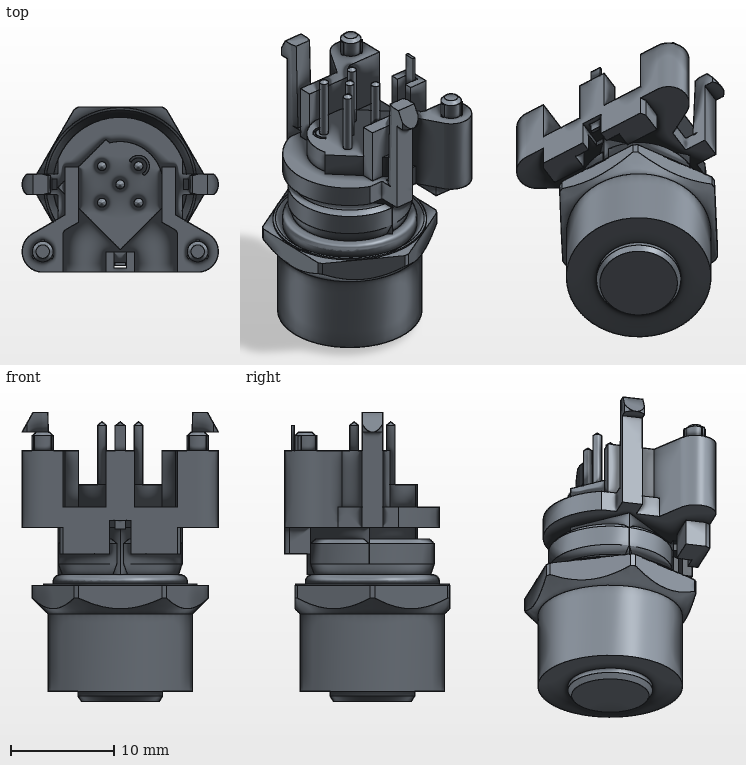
import math
import cadquery as cq

HEIGHT = 28.0
BARREL_BOTTOM_Z = 1.0
NUT_BOTTOM_Z = 8.5
NUT_TOP_Z = 11.25
LIP_TOP_Z = 11.4
SEAL_TOP_Z = 12.3
NECK_TOP_Z = 15.75
SKIRT_BOTTOM_Z = 14.3
DECK_BOTTOM_Z = 16.85
DECK_TOP_Z = 18.83
CORE_TOP_Z = 21.0
WALL_TOP_Z = 24.3
PEG_TOP_Z = 26.1
PIN_SHOULDER_Z = 26.75
PIN_TIP_Z = 27.1

PLUG_RADIUS = 4.1
PLUG_CHAMFER_HEIGHT = 0.54
PLUG_CHAMFER = 0.35
BARREL_RADIUS = 7.0
NUT_FLATS = 15.0
NUT_CORNER_RADIUS = 8.52
LIP_RADIUS = 7.44
RECESS_RADIUS = 7.2
RECESS_FLOOR_RADIUS = 6.4
RECESS_DEPTH = 0.7
SEAL_RADIUS = 6.5
SEAL_ROUND = 0.7
NECK_RADIUS = 6.0
NECK_WAIST_RADIUS = 5.65
NECK_CONE_HEIGHT = 1.05
NECK_CHAMFER = 0.45

CORE_CORNER_Y = -6.32
CORE_SIDE_CORNER = (-6.03, -0.29)
CORE_ROUND = 4.15
KEY_CORNER_X = -1.39
KEY_STEP_X = -1.03

FLANGE_RADIUS = 6.5
FLANGE_HALF_WIDTH = 6.0
BODY_FRONT_Y = -8.5
EAR_RADIUS = 2.0
EAR_X = 7.5
EAR_Y = BODY_FRONT_Y + EAR_RADIUS
WALL_SLOPE = math.radians(30)
WALL_OUTER_X = 5.36
WALL_INNER_X = 4.02
WALL_BACK_Y = 1.68
POCKET_HALF_WIDTH = 5.55
POCKET_BEND_Y = -3.65
POCKET_CORNER_X = 0.2
POCKET_CORNER_Y = 0.3
SKIRT_BACK_Y = -6.0
SKIRT_HALF_WIDTH = 5.85
SKIRT_CHAMFER_X = 0.32
SKIRT_CHAMFER_Y = 0.5
NOTCH_HALF_WIDTH = 1.03
NOTCH_TOP_Z = 17.55
RELIEF_HALF_WIDTH = 2.5
RELIEF_FRONT_Y = -7.5

POST_HALF_WIDTH = 1.4
POST_BACK_Y = -6.55
SLOT_WIDTH = 1.2
SLOT_FRONT_Y = -8.08
REAR_SLOT_FLOOR_Z = CORE_TOP_Z
BLADE_WIDTH = 1.05
BLADE_FRONT_Y = -7.85
BLADE_BACK_Y = -7.56
BLADE_BOTTOM_Z = 16.7

PEG_RADIUS = 1.0
PEG_CHAMFER = 0.35
PEG_RIB_REACH = 1.13
PEG_RIB_WIDTH = 0.3
PIN_RADIUS = 0.43
PIN_OFFSET = 1.77
MARK_INNER_RADIUS = 0.8
MARK_OUTER_RADIUS = 1.05
MARK_DEPTH = 0.2
MARK_END_OFFSET = 0.25

ARM_HALF_WIDTH = 1.0
ARM_OUTER_X = 8.2
ARM_INNER_TOP_X = 7.0
ARM_INNER_FOOT_X = 6.68
ARM_EDGE_CHAMFER_X = 0.55
ARM_EDGE_CHAMFER_Y = 0.15
ARM_ROOT_FILLET = 0.15
HOOK_TIP_X = 9.5
HOOK_TOP_X = 8.45
HOOK_BOTTOM_Z = 26.1
HOOK_TIP_RADIUS = 1.33
DIMPLE_INNER_X = 6.1
DIMPLE_OUTER_X = 6.6
DIMPLE_HALF_WIDTH = 0.5
DIMPLE_DEPTH = 0.2


def box(x_range, y_range, z_range):
    """Box given by its limits along the three axes."""
    (x0, x1), (y0, y1), (z0, z1) = x_range, y_range, z_range
    return cq.Workplane("XY").box(x1 - x0, y1 - y0, z1 - z0, centered=False).translate((x0, y0, z0))


def disc(radius, z_range):
    """Cylinder on the connector axis."""
    z0, z1 = z_range
    return cq.Workplane("XY").workplane(offset=z0).circle(radius).extrude(z1 - z0)


def revolve_profile(points):
    """Solid of revolution about Z from (radius, height) points."""
    return cq.Workplane("XZ").polyline(points).close().revolve(360, (0, 0), (0, 1))


def both_sides(solid):
    """The solid together with its mirror image in the YZ plane."""
    return solid.union(solid.mirror("YZ"))


def make_round_body():
    """Plug, barrel and waisted neck as one turned body."""
    cone_top_z = SEAL_TOP_Z + NECK_CONE_HEIGHT
    return revolve_profile([
        (0, 0),
        (PLUG_RADIUS - PLUG_CHAMFER, 0),
        (PLUG_RADIUS, PLUG_CHAMFER_HEIGHT),
        (PLUG_RADIUS, BARREL_BOTTOM_Z),
        (BARREL_RADIUS, BARREL_BOTTOM_Z),
        (BARREL_RADIUS, NUT_BOTTOM_Z),
        (NECK_WAIST_RADIUS, NUT_BOTTOM_Z),
        (NECK_WAIST_RADIUS, SEAL_TOP_Z),
        (NECK_RADIUS, cone_top_z),
        (NECK_RADIUS, NECK_TOP_Z - NECK_CHAMFER),
        (NECK_RADIUS - NECK_CHAMFER, NECK_TOP_Z),
        (0, NECK_TOP_Z),
    ])


def make_nut():
    """Hexagon with a 45 degree lower cone, clipped corners and a dished, lipped top."""
    hexagon = (
        cq.Workplane("XY")
        .workplane(offset=NUT_BOTTOM_Z)
        .polygon(6, NUT_FLATS, circumscribed=True)
        .extrude(NUT_TOP_Z - NUT_BOTTOM_Z)
        .rotate((0, 0, 0), (0, 0, 1), 90)
    )
    clip = revolve_profile([
        (0, NUT_BOTTOM_Z),
        (BARREL_RADIUS, NUT_BOTTOM_Z),
        (NUT_CORNER_RADIUS, NUT_BOTTOM_Z + NUT_CORNER_RADIUS - BARREL_RADIUS),
        (NUT_CORNER_RADIUS, NUT_TOP_Z),
        (0, NUT_TOP_Z),
    ])
    lip = disc(LIP_RADIUS, (NUT_TOP_Z - RECESS_DEPTH, LIP_TOP_Z))
    recess = revolve_profile([
        (0, LIP_TOP_Z - RECESS_DEPTH),
        (RECESS_FLOOR_RADIUS, LIP_TOP_Z - RECESS_DEPTH),
        (RECESS_RADIUS, LIP_TOP_Z),
        (0, LIP_TOP_Z),
    ])
    return hexagon.intersect(clip).union(lip).cut(recess)


def make_seal():
    """Sealing ring lying in the dished nut top."""
    seal = disc(SEAL_RADIUS, (LIP_TOP_Z - RECESS_DEPTH, SEAL_TOP_Z))
    return seal.faces(">Z").edges().fillet(SEAL_ROUND)


def make_core():
    """Contact carrier whose front and left corners stand out of the neck as ridges."""
    side_x, side_y = CORE_SIDE_CORNER
    key_corner_y = side_y + KEY_CORNER_X - side_x
    step_y = math.sqrt(CORE_ROUND**2 - KEY_STEP_X**2)
    middle = CORE_ROUND * math.sqrt(0.5)
    return (
        cq.Workplane("XY")
        .workplane(offset=SEAL_TOP_Z)
        .moveTo(0, CORE_CORNER_Y)
        .lineTo(CORE_ROUND, CORE_CORNER_Y + CORE_ROUND)
        .lineTo(CORE_ROUND, 0)
        .threePointArc((middle, middle), (KEY_STEP_X, step_y))
        .lineTo(KEY_CORNER_X, key_corner_y)
        .lineTo(side_x, side_y)
        .close()
        .extrude(CORE_TOP_Z - SEAL_TOP_Z)
    )


def make_right_shoulder():
    """Right-hand corner of the carrier, kept only between the neck and the deck."""
    side_x, side_y = CORE_SIDE_CORNER
    bottom_z = SEAL_TOP_Z + NECK_CONE_HEIGHT
    return (
        cq.Workplane("XY")
        .workplane(offset=bottom_z)
        .moveTo(0, CORE_CORNER_Y)
        .lineTo(-side_x, side_y)
        .lineTo(0, side_y)
        .close()
        .extrude(DECK_BOTTOM_Z - bottom_z)
    )


def make_wall():
    """Right-hand wall with its rounded ear, from the deck underside to the wall top."""
    slope = math.tan(WALL_SLOPE)
    tangent_x = EAR_X + EAR_RADIUS * math.sin(WALL_SLOPE)
    tangent_y = EAR_Y + EAR_RADIUS * math.cos(WALL_SLOPE)
    outer_bend_y = tangent_y + slope * (tangent_x - WALL_OUTER_X)
    pocket_corner_x = POCKET_HALF_WIDTH - POCKET_CORNER_X
    pocket_corner_y = POCKET_BEND_Y - slope * (pocket_corner_x - WALL_INNER_X)
    arc_middle = EAR_X + EAR_RADIUS * math.cos(WALL_SLOPE), EAR_Y - EAR_RADIUS * math.sin(WALL_SLOPE)
    return (
        cq.Workplane("XY")
        .workplane(offset=DECK_BOTTOM_Z)
        .moveTo(POCKET_HALF_WIDTH, BODY_FRONT_Y)
        .lineTo(EAR_X, BODY_FRONT_Y)
        .threePointArc(arc_middle, (tangent_x, tangent_y))
        .lineTo(WALL_OUTER_X, outer_bend_y)
        .lineTo(WALL_OUTER_X, WALL_BACK_Y)
        .lineTo(WALL_INNER_X, WALL_BACK_Y)
        .lineTo(WALL_INNER_X, POCKET_BEND_Y)
        .lineTo(pocket_corner_x, pocket_corner_y)
        .lineTo(POCKET_HALF_WIDTH, pocket_corner_y - POCKET_CORNER_Y)
        .close()
        .extrude(WALL_TOP_Z - DECK_BOTTOM_Z)
    )


def make_deck():
    """Flange disc with two side flats, joined to the front edge of the mounting body."""
    deck_z = (DECK_BOTTOM_Z, DECK_TOP_Z)
    flats = box(
        (-FLANGE_HALF_WIDTH, FLANGE_HALF_WIDTH),
        (-FLANGE_RADIUS, FLANGE_RADIUS),
        deck_z,
    )
    front = box((-FLANGE_HALF_WIDTH, FLANGE_HALF_WIDTH), (BODY_FRONT_Y, 0), deck_z)
    return disc(FLANGE_RADIUS, deck_z).intersect(flats).union(front)


def make_skirt():
    """Block hanging below the deck at the front, with chamfered front corners."""
    front_half_width = SKIRT_HALF_WIDTH - SKIRT_CHAMFER_X
    return (
        cq.Workplane("XY")
        .workplane(offset=SKIRT_BOTTOM_Z)
        .moveTo(-front_half_width, BODY_FRONT_Y)
        .lineTo(front_half_width, BODY_FRONT_Y)
        .lineTo(SKIRT_HALF_WIDTH, BODY_FRONT_Y + SKIRT_CHAMFER_Y)
        .lineTo(SKIRT_HALF_WIDTH, SKIRT_BACK_Y)
        .lineTo(-SKIRT_HALF_WIDTH, SKIRT_BACK_Y)
        .lineTo(-SKIRT_HALF_WIDTH, BODY_FRONT_Y + SKIRT_CHAMFER_Y)
        .close()
        .extrude(DECK_BOTTOM_Z - SKIRT_BOTTOM_Z)
    )


def make_post():
    """Upright post at the middle of the front edge."""
    return box(
        (-POST_HALF_WIDTH, POST_HALF_WIDTH),
        (BODY_FRONT_Y, POST_BACK_Y),
        (DECK_BOTTOM_Z, WALL_TOP_Z),
    )


def cut_front_openings(body):
    """Notch in the skirt, hollow behind it, and the slot that holds the blade in the post."""
    slot_x = (-SLOT_WIDTH / 2, SLOT_WIDTH / 2)
    notch = box(
        (-NOTCH_HALF_WIDTH, NOTCH_HALF_WIDTH),
        (BODY_FRONT_Y, SKIRT_BACK_Y),
        (SKIRT_BOTTOM_Z, NOTCH_TOP_Z),
    )
    relief = box(
        (-RELIEF_HALF_WIDTH, RELIEF_HALF_WIDTH),
        (RELIEF_FRONT_Y, SKIRT_BACK_Y),
        (SKIRT_BOTTOM_Z, DECK_BOTTOM_Z),
    )
    through_slot = box(slot_x, (SLOT_FRONT_Y, BLADE_FRONT_Y), (NOTCH_TOP_Z, WALL_TOP_Z))
    rear_slot = box(slot_x, (BLADE_FRONT_Y, POST_BACK_Y), (REAR_SLOT_FLOOR_Z, WALL_TOP_Z))
    return body.cut(notch).cut(relief).cut(through_slot).cut(rear_slot)


def make_blade():
    """Flat contact blade standing in the post slot."""
    return box(
        (-BLADE_WIDTH / 2, BLADE_WIDTH / 2),
        (BLADE_FRONT_Y, BLADE_BACK_Y),
        (BLADE_BOTTOM_Z, PIN_SHOULDER_Z),
    )


def make_peg(x):
    """Chamfered locating peg with three crush ribs."""
    height = PEG_TOP_Z - WALL_TOP_Z
    peg = cq.Workplane("XY").circle(PEG_RADIUS).extrude(height)
    peg = peg.faces(">Z").chamfer(PEG_CHAMFER)
    for angle in (90, 210, 330):
        rib = box(
            (0, PEG_RIB_REACH),
            (-PEG_RIB_WIDTH / 2, PEG_RIB_WIDTH / 2),
            (0, height - PEG_CHAMFER),
        )
        peg = peg.union(rib.rotate((0, 0, 0), (0, 0, 1), angle))
    return peg.translate((x, EAR_Y, WALL_TOP_Z))


def make_pin(x, y):
    """Contact pin with a conical tip, rooted in the core."""
    pin = revolve_profile([
        (0, NECK_TOP_Z),
        (PIN_RADIUS, NECK_TOP_Z),
        (PIN_RADIUS, PIN_SHOULDER_Z),
        (0, PIN_TIP_Z),
    ])
    return pin.translate((x, y, 0))


def make_mark():
    """Groove of slightly more than half a ring around the outer side of the back right pin."""
    reach = 2 * MARK_OUTER_RADIUS
    ring = cq.Workplane("XY").circle(MARK_OUTER_RADIUS).circle(MARK_INNER_RADIUS).extrude(MARK_DEPTH)
    outer_half = box((-MARK_END_OFFSET, reach), (-reach, reach), (0, MARK_DEPTH))
    outer_half = outer_half.rotate((0, 0, 0), (0, 0, 1), 45)
    return ring.intersect(outer_half).translate((PIN_OFFSET, PIN_OFFSET, CORE_TOP_Z - MARK_DEPTH))


def make_arm():
    """Right-hand snap arm: foot on the flange, tapered shaft and rounded hook."""
    arm_y = (-ARM_HALF_WIDTH, ARM_HALF_WIDTH)
    shaft = (
        cq.Workplane("XZ", origin=(0, ARM_HALF_WIDTH, 0))
        .moveTo(ARM_INNER_FOOT_X, DECK_BOTTOM_Z)
        .lineTo(ARM_OUTER_X, DECK_BOTTOM_Z)
        .lineTo(ARM_OUTER_X, HOOK_BOTTOM_Z)
        .lineTo(HOOK_TIP_X, HOOK_BOTTOM_Z)
        .lineTo(HOOK_TOP_X, HEIGHT)
        .lineTo(ARM_INNER_TOP_X, HEIGHT)
        .close()
        .extrude(2 * ARM_HALF_WIDTH)
    )
    shaft = shaft.faces("<X").edges("not |Y").chamfer(ARM_EDGE_CHAMFER_Y, ARM_EDGE_CHAMFER_X)
    tip_round = (
        cq.Workplane("XY")
        .workplane(offset=DECK_BOTTOM_Z)
        .center(HOOK_TIP_X - HOOK_TIP_RADIUS, 0)
        .circle(HOOK_TIP_RADIUS)
        .extrude(HEIGHT - DECK_BOTTOM_Z)
    )
    inner_zone = box((0, ARM_OUTER_X), arm_y, (DECK_BOTTOM_Z, HEIGHT))
    foot = box((FLANGE_HALF_WIDTH, ARM_OUTER_X), arm_y, (DECK_BOTTOM_Z, DECK_TOP_Z))
    return shaft.intersect(tip_round.union(inner_zone)).union(foot)


def make_dimple():
    """Shallow recess in the top of the right-hand arm foot."""
    return box(
        (DIMPLE_INNER_X, DIMPLE_OUTER_X),
        (-DIMPLE_HALF_WIDTH, DIMPLE_HALF_WIDTH),
        (DECK_TOP_Z - DIMPLE_DEPTH, DECK_TOP_Z),
    )


body = make_deck().union(make_skirt()).union(make_post()).union(both_sides(make_wall()))
body = cut_front_openings(body)
body = body.union(both_sides(make_arm()))

root_edges = cq.selectors.BoxSelector(
    (-FLANGE_RADIUS, -2 * ARM_HALF_WIDTH, DECK_BOTTOM_Z),
    (FLANGE_RADIUS, 2 * ARM_HALF_WIDTH, DECK_TOP_Z),
)
body = body.edges("|Z").edges(root_edges).edges("<X or >X").fillet(ARM_ROOT_FILLET)
body = body.cut(both_sides(make_dimple()))
body = body.union(make_blade())

for peg_x in (-EAR_X, EAR_X):
    body = body.union(make_peg(peg_x))

core = make_core().cut(make_mark()).union(make_right_shoulder())
pin_places = [(0, 0)] + [(sx * PIN_OFFSET, sy * PIN_OFFSET) for sx in (-1, 1) for sy in (-1, 1)]
for pin_x, pin_y in pin_places:
    core = core.union(make_pin(pin_x, pin_y))

result = make_round_body().union(make_nut()).union(make_seal()).union(core).union(body)